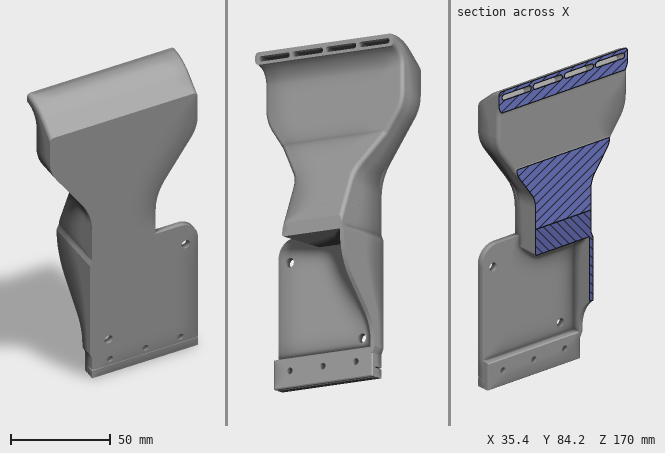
import cadquery as cq
import math


HEIGHT = 170.0
HEAD_WIDTH = 84.0
WAIST_WIDTH = 36.2
GRIP_DEPTH = 16.0
TIP_DEPTH = 24.5
FOOT_DEPTH = 35.4
HOOK_OUTER_RADIUS = 24.0
HOOK_INNER_RADIUS = TIP_DEPTH - GRIP_DEPTH
HOOK_ANGLE = 40.0
HOOK_ARC_DEPTH = 23.6
TIP_BOTTOM_Z = 163.5
SLOPE_TOP_Z = 122.7
SLOPE_BOTTOM_Z = 77.9
SHOULDER_TOP_Z = 142.3
SHOULDER_RADIUS = 20.0
WAIST_RADIUS = 15.0
SIDE_ANGLE = 35.0
BACK_BAND_DEPTH = 2.0
BACK_BAND_WAIST_RADIUS = 30.0
EDGE_RADIUS = 2.0
TIP_EDGE_RADIUS = 0.8

SLOT_COUNT = 4
SLOT_PITCH = 20.2
SLOT_LENGTH = 18.7
SLOT_HEIGHT = 2.7
SLOT_Z = 166.4

SPLIT_Z = 85.3
FOOT_BOTTOM_Z = 70.9
BASE_MIN_Y = -18.0
BASE_MAX_Y = 42.2
WALL_INNER_Y = -17.0
WALL_OUTER_Y = -19.4
WALL_BOTTOM_Z = 12.0
WALL_TOP_Z = 73.5
WALL_BEVEL = 3.0
WALL_UPPER_ARC_RADIUS = 34.0
WALL_UPPER_ARC_TOP_Z = 69.4
WALL_LOWER_ARC_RADIUS = 22.1
WALL_ANGLE = 42.0
PLATE_THICKNESS = 3.5
PLATE_TOP_Z = 77.5
PLATE_CORNER_RADIUS = 10.0
PLATE_HOLE_DIAMETER = 4.8
PLATE_HOLES = [(35.2, 65.1), (-8.7, 21.0)]
STRIP_DEPTH = 8.0
STRIP_HEIGHT = 15.1
STRIP_BEVEL = 0.5
STRIP_HOLE_DIAMETER = 3.4
STRIP_HOLE_PITCH = 20.0
STRIP_HOLE_Z = 8.5
STRIP_HOLE_MIDDLE_Y = 12.2

BAR_DEPTH = 4.6
BAR_HEIGHT = 4.6
BAR_CLEARANCE = 0.7


def box(x_range, y_range, z_range):
    """Box between two limits along each axis."""
    limits = (x_range, y_range, z_range)
    size = [high - low for low, high in limits]
    corner = cq.Vector(*[low for low, high in limits])
    return cq.Workplane(cq.Solid.makeBox(*size, corner))


def arc_point(center, radius, angle):
    """Point on a circle, the angle in degrees counted from the first axis."""
    turn = math.radians(angle)
    return (center[0] + radius * math.cos(turn), center[1] + radius * math.sin(turn))


def handle_side_profile():
    """Hooked outline in XZ; the front slope runs on below the foot, to be trimmed there."""
    outer_center = (-HOOK_ARC_DEPTH, HEIGHT - HOOK_OUTER_RADIUS)
    inner_center = (-TIP_DEPTH, TIP_BOTTOM_Z - HOOK_INNER_RADIUS)
    outer_end = arc_point(outer_center, HOOK_OUTER_RADIUS, 90 - HOOK_ANGLE)
    back_top_z = outer_end[1] + outer_end[0] * math.tan(math.radians(HOOK_ANGLE))
    slope = (FOOT_DEPTH - GRIP_DEPTH) / (SLOPE_TOP_Z - SLOPE_BOTTOM_Z)
    slope_end_x = -GRIP_DEPTH - slope * (SLOPE_TOP_Z - FOOT_BOTTOM_Z)
    return (
        cq.Workplane("XZ")
        .moveTo(-TIP_DEPTH, TIP_BOTTOM_Z)
        .lineTo(-TIP_DEPTH, HEIGHT)
        .lineTo(-HOOK_ARC_DEPTH, HEIGHT)
        .threePointArc(arc_point(outer_center, HOOK_OUTER_RADIUS, 90 - HOOK_ANGLE / 2), outer_end)
        .lineTo(0, back_top_z)
        .lineTo(0, FOOT_BOTTOM_Z)
        .lineTo(slope_end_x, FOOT_BOTTOM_Z)
        .lineTo(-GRIP_DEPTH, SLOPE_TOP_Z)
        .lineTo(-GRIP_DEPTH, inner_center[1])
        .threePointArc(arc_point(inner_center, HOOK_INNER_RADIUS, 45), (-TIP_DEPTH, TIP_BOTTOM_Z))
        .close()
    )


def handle_front_profile(waist_radius):
    """Outline in YZ: wide head, sloping shoulders and narrow waist, alike on both sides."""
    head_y = HEAD_WIDTH / 2
    waist_y = WAIST_WIDTH / 2
    shoulder_center = (head_y - SHOULDER_RADIUS, SHOULDER_TOP_Z)
    shoulder_end = arc_point(shoulder_center, SHOULDER_RADIUS, -SIDE_ANGLE)
    slope = math.tan(math.radians(SIDE_ANGLE))
    corner_z = shoulder_end[1] - (shoulder_end[0] - waist_y) / slope
    waist_end_z = corner_z - waist_radius * math.tan(math.radians(SIDE_ANGLE / 2))
    waist_center = (waist_y + waist_radius, waist_end_z)
    return (
        cq.Workplane("YZ")
        .moveTo(0, HEIGHT)
        .lineTo(head_y, HEIGHT)
        .lineTo(head_y, SHOULDER_TOP_Z)
        .threePointArc(arc_point(shoulder_center, SHOULDER_RADIUS, -SIDE_ANGLE / 2), shoulder_end)
        .lineTo(*arc_point(waist_center, waist_radius, 180 - SIDE_ANGLE))
        .threePointArc(
            arc_point(waist_center, waist_radius, 180 - SIDE_ANGLE / 2),
            (waist_y, waist_end_z),
        )
        .lineTo(waist_y, FOOT_BOTTOM_Z)
        .lineTo(0, FOOT_BOTTOM_Z)
        .mirrorY()
    )


def round_handle_edges(blank):
    """Round the edges of the side faces along the front and top, then those around the hook tip."""
    rounded = blank.edges("not(|X or |Y or |Z or >X)").fillet(EDGE_RADIUS)
    return rounded.faces("<X").edges().fillet(TIP_EDGE_RADIUS)


def shaped_handle():
    """Head, neck and foot in one piece with rounded edges, before the split."""
    side = handle_side_profile().extrude(HEAD_WIDTH / 2, both=True)
    front = handle_front_profile(WAIST_RADIUS).extrude(-2 * FOOT_DEPTH)
    blank = round_handle_edges(side.intersect(front))
    envelope = box((-FOOT_DEPTH, 0), (-HEAD_WIDTH, HEAD_WIDTH), (FOOT_BOTTOM_Z, HEIGHT))
    band = handle_front_profile(BACK_BAND_WAIST_RADIUS).extrude(-BACK_BAND_DEPTH)
    neck = box((-FOOT_DEPTH, 0), (-HEAD_WIDTH, HEAD_WIDTH), (FOOT_BOTTOM_Z, SLOPE_TOP_Z))
    return blank.intersect(envelope).union(band.intersect(neck))


def slot_openings():
    """Row of slot outlines on the plane where the hook's outer arc starts."""
    middle = (SLOT_COUNT - 1) / 2
    places = [((number - middle) * SLOT_PITCH, SLOT_Z) for number in range(SLOT_COUNT)]
    plane = cq.Workplane("YZ", origin=(-HOOK_ARC_DEPTH, 0, 0))
    return plane.pushPoints(places).slot2D(SLOT_LENGTH, SLOT_HEIGHT)


def hook_slots():
    """Slots straight in from the tip, then following the outer arc of the hook."""
    axis_z = HEIGHT - HOOK_OUTER_RADIUS
    straight = slot_openings().extrude(HOOK_ARC_DEPTH - TIP_DEPTH)
    curved = slot_openings().revolve(HOOK_ANGLE, (-1.7, axis_z), (1.7, axis_z))
    return straight.union(curved)


def wall_front_profile():
    """S-shaped outline in XZ of the side wall, whose lower end meets the strip."""
    angle = math.radians(WALL_ANGLE)
    upper_center = (WALL_UPPER_ARC_RADIUS - FOOT_DEPTH, WALL_UPPER_ARC_TOP_Z)
    upper_end = arc_point(upper_center, WALL_UPPER_ARC_RADIUS, 180 + WALL_ANGLE)
    lower_center_x = -STRIP_DEPTH - WALL_LOWER_ARC_RADIUS
    lower_start_x = lower_center_x + WALL_LOWER_ARC_RADIUS * math.cos(angle)
    lower_start_z = upper_end[1] - (lower_start_x - upper_end[0]) / math.tan(angle)
    lower_center = (lower_center_x, lower_start_z - WALL_LOWER_ARC_RADIUS * math.sin(angle))
    return (
        cq.Workplane("XZ", origin=(0, WALL_INNER_Y, 0))
        .moveTo(0, WALL_TOP_Z)
        .lineTo(-FOOT_DEPTH, WALL_TOP_Z)
        .lineTo(-FOOT_DEPTH, WALL_UPPER_ARC_TOP_Z)
        .threePointArc(
            arc_point(upper_center, WALL_UPPER_ARC_RADIUS, 180 + WALL_ANGLE / 2), upper_end
        )
        .lineTo(lower_start_x, lower_start_z)
        .threePointArc(
            arc_point(lower_center, WALL_LOWER_ARC_RADIUS, WALL_ANGLE / 2),
            (-STRIP_DEPTH, lower_center[1]),
        )
        .lineTo(-STRIP_DEPTH, WALL_BOTTOM_Z)
        .lineTo(0, WALL_BOTTOM_Z)
        .close()
    )


def side_wall():
    """S-shaped wall, bulging outwards between a bevel at its top and one at its bottom."""
    wall = wall_front_profile().extrude(WALL_INNER_Y - WALL_OUTER_Y)
    bulge = (
        cq.Workplane("YZ")
        .polyline([
            (WALL_INNER_Y, WALL_BOTTOM_Z),
            (BASE_MIN_Y, WALL_BOTTOM_Z),
            (WALL_OUTER_Y, WALL_BOTTOM_Z + WALL_BEVEL),
            (WALL_OUTER_Y, WALL_TOP_Z - WALL_BEVEL),
            (BASE_MIN_Y, WALL_TOP_Z),
            (WALL_INNER_Y, WALL_TOP_Z),
        ])
        .close()
        .extrude(-FOOT_DEPTH)
    )
    return wall.intersect(bulge)


def mounting_plate():
    """Square plate at the back with one rounded corner and two holes."""
    plate = box((-PLATE_THICKNESS, 0), (BASE_MIN_Y, BASE_MAX_Y), (0, PLATE_TOP_Z))
    plate = plate.edges("|X and >Y and >Z").fillet(PLATE_CORNER_RADIUS)
    holes = (
        cq.Workplane("YZ")
        .pushPoints(PLATE_HOLES)
        .circle(PLATE_HOLE_DIAMETER / 2)
        .extrude(-PLATE_THICKNESS)
    )
    return plate.cut(holes)


def strip_holes():
    """Row of three holes through the clamping strip."""
    places = [(STRIP_HOLE_MIDDLE_Y + step * STRIP_HOLE_PITCH, STRIP_HOLE_Z) for step in (-1, 0, 1)]
    return (
        cq.Workplane("YZ")
        .pushPoints(places)
        .circle(STRIP_HOLE_DIAMETER / 2)
        .extrude(-STRIP_DEPTH)
    )


def make_handle(shaped):
    """Part of the shaped handle above the split, with the slots in its hook."""
    above = box((-FOOT_DEPTH, 0), (-HEAD_WIDTH, HEAD_WIDTH), (SPLIT_Z, HEIGHT))
    return shaped.intersect(above).cut(hook_slots())


def make_base(shaped):
    """Foot below the split, joined to the side wall, mounting plate and clamping strip."""
    foot = shaped.intersect(box((-FOOT_DEPTH, 0), (-HEAD_WIDTH, HEAD_WIDTH), (FOOT_BOTTOM_Z, SPLIT_Z)))
    strip = box((-STRIP_DEPTH, 0), (BASE_MIN_Y, BASE_MAX_Y), (0, STRIP_HEIGHT))
    strip = strip.faces("<X").chamfer(STRIP_BEVEL)
    rebate = box(
        (-BAR_DEPTH - BAR_CLEARANCE, 0),
        (BASE_MIN_Y, BASE_MAX_Y),
        (0, BAR_HEIGHT + BAR_CLEARANCE),
    )
    base = foot.union(side_wall()).union(mounting_plate()).union(strip)
    return base.cut(strip_holes()).cut(rebate)


def make_bar():
    """Square bar in the rebate of the strip."""
    return box((-BAR_DEPTH, 0), (BASE_MIN_Y, BASE_MAX_Y), (0, BAR_HEIGHT))


shaped = shaped_handle()
handle = make_handle(shaped)
base = make_base(shaped)
bar = make_bar()

result = cq.Compound.makeCompound([handle.val(), base.val(), bar.val()])